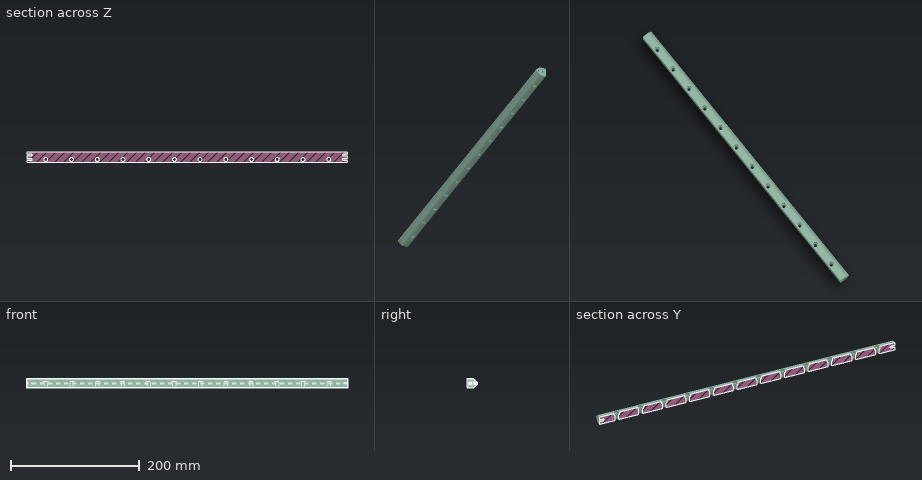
import cadquery as cq

LENGTH = 500.0
WIDTH = 17.0
HEIGHT = 15.0
NOSE_FLAT = 1.5
NOSE_DEPTH = (HEIGHT - NOSE_FLAT) / 2
SHOULDER = WIDTH - NOSE_DEPTH
FOOT_CHAMFER = 1.5
END_CHAMFER = 0.5
TOLERANCE = 0.01

HOLE_COUNT = 12
HOLE_PITCH = 40.0
HOLE_FROM_BACK = 5.3
HOLE_DIAMETER = 5.25
BORE_DIAMETER = 8.5
BORE_DEPTH = 4.5

END_HOLE_DIAMETER = 2.5
END_HOLE_DEPTH = 8.0
END_HOLE_MOUTH = 4.0
END_HOLE_MOUTH_ANGLE = 90.0
END_HOLES_FROM_BACK = (5.5, 12.5)


def make_body():
    """Extrude the rail section along X, with the back face at Y = 0."""
    return (
        cq.Workplane("YZ")
        .moveTo(FOOT_CHAMFER, 0)
        .lineTo(SHOULDER, 0)
        .lineTo(WIDTH, NOSE_DEPTH)
        .lineTo(WIDTH, NOSE_DEPTH + NOSE_FLAT)
        .lineTo(SHOULDER, HEIGHT)
        .lineTo(0, HEIGHT)
        .lineTo(0, FOOT_CHAMFER)
        .close()
        .extrude(LENGTH)
    )


def chamfer_ends(body):
    """Break the end edges of the block, but not those of the nose."""
    nose_zone = cq.selectors.BoxSelector(
        (-TOLERANCE, SHOULDER + TOLERANCE, -TOLERANCE),
        (LENGTH + TOLERANCE, WIDTH + TOLERANCE, HEIGHT + TOLERANCE),
    )
    block_edges = cq.selectors.InverseSelector(nose_zone)
    return body.faces("<X or >X").edges(block_edges).chamfer(END_CHAMFER)


def cut_mounting_holes(body):
    """Cut the row of mounting holes, centred along the length."""
    margin = (LENGTH - (HOLE_COUNT - 1) * HOLE_PITCH) / 2
    centers = [(margin + i * HOLE_PITCH, HOLE_FROM_BACK) for i in range(HOLE_COUNT)]
    return (
        body.faces(">Z")
        .workplane(origin=(0, 0, HEIGHT))
        .pushPoints(centers)
        .cboreHole(HOLE_DIAMETER, BORE_DIAMETER, BORE_DEPTH)
    )


def cut_end_holes(body, face, across):
    """Cut the screw holes of one end face; `across` is +1 or -1, the sense of its local x along Y."""
    centers = [(across * y, HEIGHT / 2) for y in END_HOLES_FROM_BACK]
    return (
        body.faces(face)
        .workplane(origin=(0, 0, 0))
        .pushPoints(centers)
        .cskHole(END_HOLE_DIAMETER, END_HOLE_MOUTH, END_HOLE_MOUTH_ANGLE, END_HOLE_DEPTH)
    )


rail = chamfer_ends(make_body())
rail = cut_mounting_holes(rail)
rail = cut_end_holes(rail, "<X", -1)
result = cut_end_holes(rail, ">X", 1)